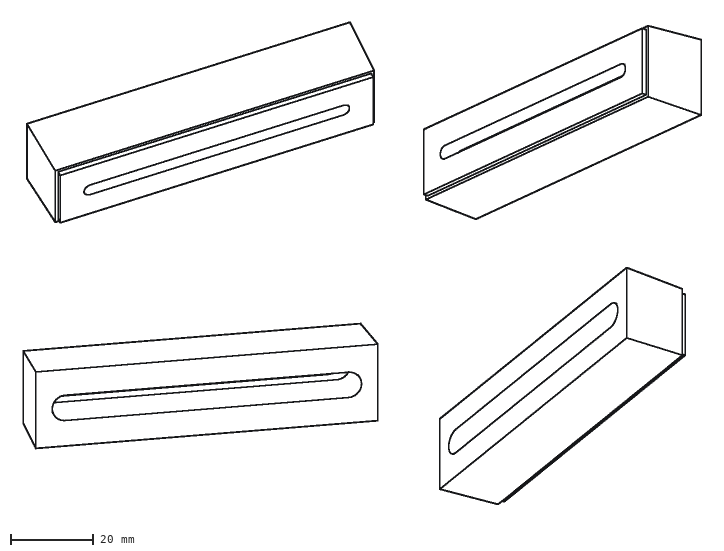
import cadquery as cq
import math

length = 85.35
height = 19.9
overall_depth = 17.7
lip_depth = 1.3
body_depth = overall_depth - lip_depth
draft_angle = 2.0

lip_step = 0.8
body_taper = body_depth * math.tan(math.radians(draft_angle))
lip_inset = body_taper + lip_step

wide_slot_length = 77.15
wide_slot_width = 6.6
narrow_slot_length = 70.1
narrow_slot_width = 3.5
slot_floor_thickness = 5.0
wide_slot_depth = overall_depth - slot_floor_thickness


def tapered_body():
    """Block whose four long sides lean inward with X."""
    return cq.Workplane("YZ").rect(length, height).extrude(body_depth, taper=draft_angle)


def lip():
    """Straight-sided plate on the small end of the body."""
    return (
        cq.Workplane("YZ", origin=(body_depth, 0, 0))
        .rect(length - 2 * lip_inset, height - 2 * lip_inset)
        .extrude(lip_depth)
    )


def slot_cutter(slot_length, slot_width, depth):
    """Round-ended slot along Y, cut from the broad face."""
    return cq.Workplane("YZ").slot2D(slot_length, slot_width).extrude(depth)


result = (
    tapered_body()
    .union(lip())
    .cut(slot_cutter(wide_slot_length, wide_slot_width, wide_slot_depth))
    .cut(slot_cutter(narrow_slot_length, narrow_slot_width, overall_depth))
)